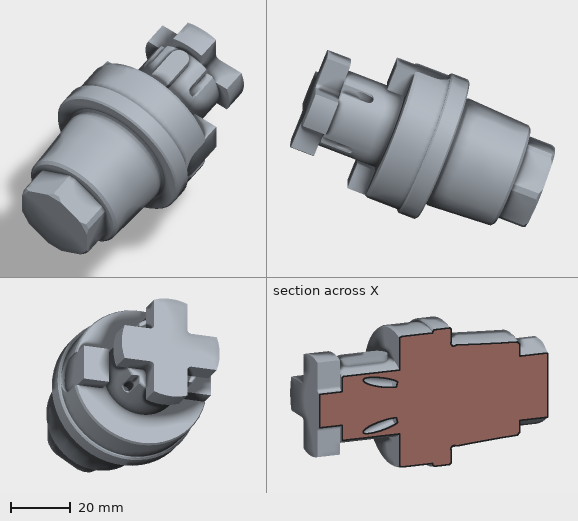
import cadquery as cq
import math


hex_end = 0.0
body_start = 10.1
taper_top = 33.1
neck_start = 33.8
neck_end = 34.6
flange_start = 35.0
flange_end = 41.8
collar_end = 53.95
shaft_end = 74.8
overall_length = 83.0

flange_radius = 25.0
flange_chamfer = 0.6
collar_radius = 24.0
collar_lead_length = 1.0
collar_lead_depth = 0.4
shaft_diameter = 27.0
shaft_radius = shaft_diameter / 2
shaft_chamfer = 0.4
taper_large_radius = 19.2
taper_small_radius = 17.9
taper_chamfer = 0.9
neck_radius = 18.9

undercut_outer_radius = 20.25
undercut_deep_radius = 19.75
undercut_depth = 0.2

hex_across_flats = 27.0
hex_corner_reach = 14.9
hex_chamfer = 1.0

key_width = 11.8
key_reach = 22.7
key_inner_face = 13.7
key_end = 60.3

feather_width = 6.9
feather_start = 55.4
feather_end = 73.4
feather_reach = 15.4

cross_radius = 17.4
cross_arm_width = 11.8
cross_fillet = 1.5

notch_offset = 8.1
notch_start = 63.7
bore_radius = 1.5
bore_angle = 18.0
bore_mouth = 63.0
bore_depth = 8.3


def turned_body():
    y_small = body_start + taper_chamfer
    profile = [
        (0, body_start),
        (taper_small_radius - taper_chamfer, body_start),
        (taper_small_radius, y_small),
        (taper_large_radius, taper_top),
        (neck_radius, neck_start),
        (neck_radius, neck_end),
        (undercut_deep_radius, flange_start + undercut_depth),
        (undercut_outer_radius, flange_start),
        (flange_radius - flange_chamfer, flange_start),
        (flange_radius, flange_start + flange_chamfer),
        (flange_radius, flange_end - flange_chamfer),
        (flange_radius - flange_chamfer, flange_end),
        (collar_radius, flange_end),
        (collar_radius, collar_end - collar_lead_length),
        (collar_radius - collar_lead_depth, collar_end),
        (shaft_radius, collar_end),
        (shaft_radius, shaft_end - shaft_chamfer),
        (shaft_radius - shaft_chamfer, shaft_end),
        (0, shaft_end),
    ]
    return cq.Workplane("XY").polyline(profile).close().revolve(360, (0, 0), (0, 1))


def hexagon(inner_radius, start_angle):
    """Hexagonal prism along Y, as long as the hex head."""
    corner_radius = inner_radius / math.cos(math.pi / 6)
    angles = [math.radians(start_angle + 60 * i) for i in range(6)]
    corners = [(corner_radius * math.cos(a), corner_radius * math.sin(a)) for a in angles]
    length = body_start - hex_end
    return cq.Workplane("XZ", origin=(0, hex_end, 0)).polyline(corners).close().extrude(-length)


def hex_head():
    head = hexagon(hex_across_flats / 2, 30)
    corner_cutter = hexagon(hex_corner_reach, 0).faces("<Y").chamfer(hex_chamfer)
    return head.intersect(corner_cutter)


def key_outline(start_x, length):
    """Key prism along +X: square at the back, round where it meets the flange."""
    half = key_width / 2
    return (
        cq.Workplane("YZ", origin=(start_x, 0, 0))
        .moveTo(key_end, -half)
        .lineTo(key_end, half)
        .lineTo(flange_end + half, half)
        .threePointArc((flange_end, 0), (flange_end + half, -half))
        .close()
        .extrude(length)
    )


def add_drive_keys(body):
    for turn in (0, 180):
        key = key_outline(key_inner_face, key_reach - key_inner_face)
        clearance = key_outline(key_reach, flange_radius - key_reach)
        body = body.cut(clearance.rotate((0, 0, 0), (0, 1, 0), turn))
        body = body.union(key.rotate((0, 0, 0), (0, 1, 0), turn))
    return body


def feather_key():
    length = feather_end - feather_start
    center_y = (feather_start + feather_end) / 2
    return (
        cq.Workplane("XY")
        .center(0, center_y)
        .slot2D(length, feather_width, 90)
        .extrude(feather_reach)
    )


def cross_head():
    depth = overall_length - shaft_end
    plane = cq.Workplane("XZ", origin=(0, shaft_end, 0))
    span = 2 * cross_radius
    arms = plane.rect(span, cross_arm_width).extrude(-depth)
    arms = arms.union(plane.rect(cross_arm_width, span).extrude(-depth))
    reach = cross_arm_width
    inner_corners = cq.selectors.BoxSelector((-reach, shaft_end, -reach), (reach, overall_length, reach))
    arms = arms.edges("|Y").edges(inner_corners).fillet(cross_fillet)
    return arms.intersect(plane.circle(cross_radius).extrude(-depth))


def notch_cutter():
    """Corner notch in the +X +Z quarter, with a round end and a blind inclined bore."""
    side = shaft_radius - notch_offset
    wall = math.sqrt(shaft_radius**2 - notch_offset**2) - notch_offset
    end_radius = wall / math.sqrt(2)
    round_center = notch_start + end_radius
    diagonal = cq.Vector(1, 0, 1).normalized()
    corner_distance = notch_offset * math.sqrt(2)

    center = notch_offset + side / 2
    notch = (
        cq.Workplane("XZ", origin=(0, notch_start, 0))
        .center(center, center)
        .rect(side, side)
        .extrude(notch_start - shaft_end)
    )
    round_end = cq.Workplane(
        cq.Solid.makeCylinder(end_radius, shaft_radius, cq.Vector(0, round_center, 0), diagonal)
    )
    straight = (
        cq.Workplane("XY", origin=(0, round_center, 0))
        .box(2 * end_radius, shaft_end - round_center, 2 * shaft_radius, centered=(True, False, True))
        .rotate((0, 0, 0), (0, 1, 0), 45)
    )
    notch = notch.intersect(round_end.union(straight))

    tilt = math.radians(bore_angle)
    outward = diagonal * math.sin(tilt) + cq.Vector(0, math.cos(tilt), 0)
    mouth = diagonal * corner_distance + cq.Vector(0, bore_mouth, 0)
    bore = cq.Solid.makeCylinder(bore_radius, 2 * bore_depth, mouth - outward * bore_depth, outward)
    return notch.union(cq.Workplane(bore))


def cut_notches(body):
    cutter = notch_cutter()
    for i in range(4):
        body = body.cut(cutter.rotate((0, 0, 0), (0, 1, 0), 90 * i))
    return body


body = add_drive_keys(turned_body())
body = body.union(feather_key())
body = cut_notches(body)
result = body.union(hex_head()).union(cross_head())